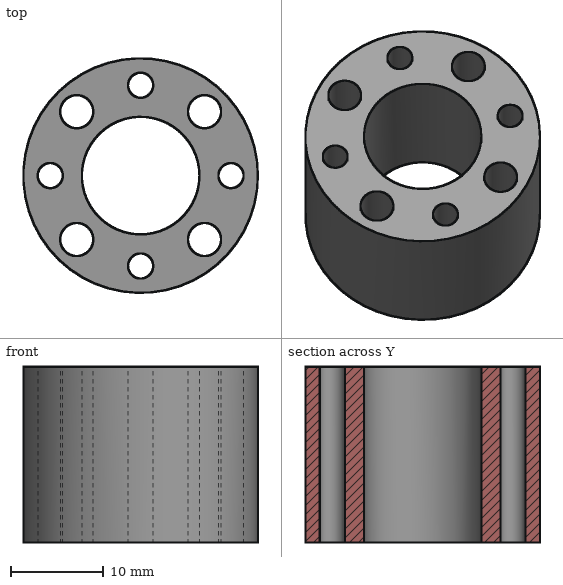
import cadquery as cq

outer_diameter = 25.4
height = 19.05
bore_diameter = outer_diameter / 2
bolt_circle_radius = 9.78
small_hole_diameter = 2.7
large_hole_diameter = 3.55
holes_per_set = 4
large_hole_start_angle = 180 / holes_per_set


def through_holes(body, diameter, start_angle):
    """Cut one evenly spaced set of through holes on the bolt circle."""
    return (
        body.faces(">Z")
        .workplane(origin=(0, 0, height))
        .polarArray(bolt_circle_radius, start_angle, 360, holes_per_set)
        .hole(diameter)
    )


sleeve = (
    cq.Workplane("XY")
    .circle(outer_diameter / 2)
    .circle(bore_diameter / 2)
    .extrude(height)
)

sleeve = through_holes(sleeve, small_hole_diameter, 0)
result = through_holes(sleeve, large_hole_diameter, large_hole_start_angle)